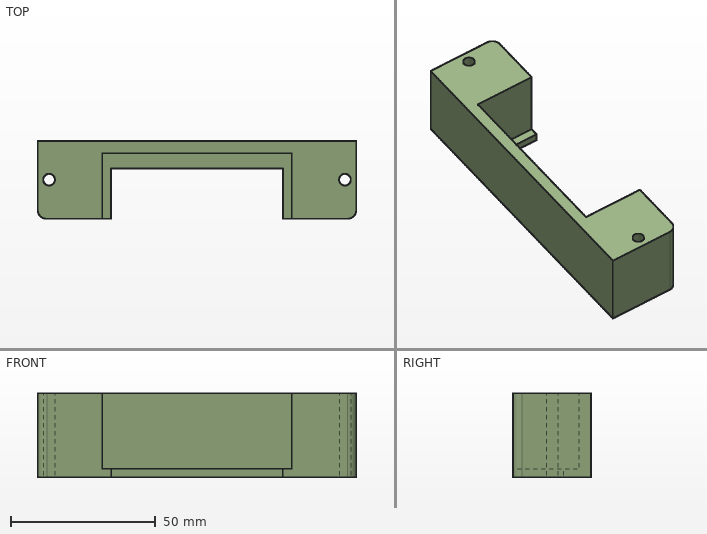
import cadquery as cq

length = 110.0
depth = 27.0
height = 29.0
corner_radius = 3.1

pocket_width = 65.2
back_wall = 4.3
ledge_thickness = 3.0

ledge_side_width = 3.0
ledge_back_width = 5.3
opening_width = pocket_width - 2 * ledge_side_width
opening_depth = depth - back_wall - ledge_back_width

hole_diameter = 4.0
hole_end_distance = 4.0
hole_spacing = length - 2 * hole_end_distance
hole_y = 13.5


def front_notch(width, notch_depth, floor_z):
    """Box centred in X, running back from the front face and up from floor_z."""
    return (
        cq.Workplane("XY")
        .box(width, notch_depth, height - floor_z, centered=(True, False, False))
        .translate((0, 0, floor_z))
    )


block = cq.Workplane("XY").box(length, depth, height, centered=(True, False, False))
block = block.faces("<Y").edges("|Z").fillet(corner_radius)

pocket = front_notch(pocket_width, depth - back_wall, ledge_thickness)
opening = front_notch(opening_width, opening_depth, 0)

holes = (
    cq.Workplane("XY")
    .pushPoints([(-hole_spacing / 2, hole_y), (hole_spacing / 2, hole_y)])
    .circle(hole_diameter / 2)
    .extrude(height)
)

result = block.cut(pocket).cut(opening).cut(holes)